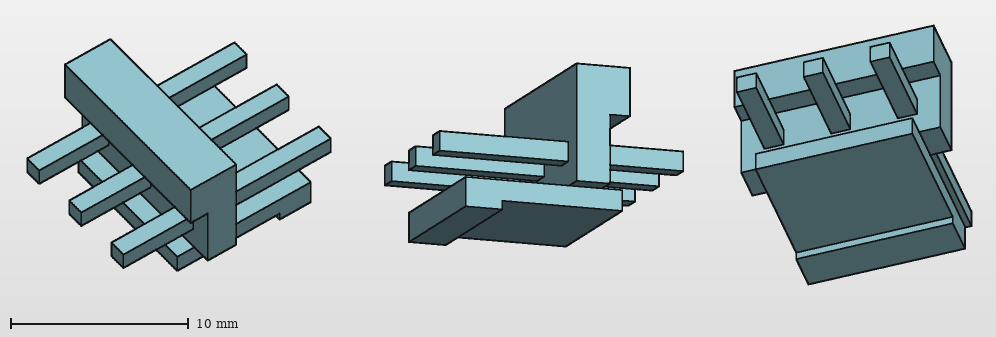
import cadquery as cq

pin_count = 3
pin_pitch = 3.96
pin_size = 1.14
pin_rear_length = 7.7
pin_front_length = 3.7

header_width = 11.82
header_height = 6.8
head_depth = 3.2
head_height = 2.8
wall_thickness = 2.0
pin_height = 2.0

shelf_width = 9.3
shelf_thickness = 1.2
shelf_rear_length = 6.2
lip_length = 2.2
lip_height = 0.5

wall_bottom = -pin_height
wall_top = wall_bottom + header_height
head_bottom = wall_top - head_height
shelf_bottom = wall_bottom - shelf_thickness
lip_bottom = shelf_bottom - lip_height
front_face = -head_depth


def extrude_profile(points, width):
    """Extrude a closed (Y, Z) outline along X, centred on X = 0."""
    return cq.Workplane("YZ").polyline(points).close().extrude(width / 2, both=True)


def make_header():
    outline = [
        (0, wall_bottom),
        (0, wall_top),
        (front_face, wall_top),
        (front_face, head_bottom),
        (-wall_thickness, head_bottom),
        (-wall_thickness, wall_bottom),
    ]
    return extrude_profile(outline, header_width)


def make_shelf():
    lip_front = shelf_rear_length - lip_length
    outline = [
        (front_face, wall_bottom),
        (shelf_rear_length, wall_bottom),
        (shelf_rear_length, lip_bottom),
        (lip_front, lip_bottom),
        (lip_front, shelf_bottom),
        (front_face, shelf_bottom),
    ]
    return extrude_profile(outline, shelf_width)


def make_pin(x):
    pin_length = pin_rear_length + head_depth + pin_front_length
    pin_centre_y = pin_rear_length - pin_length / 2
    return cq.Workplane("XY").box(pin_size, pin_length, pin_size).translate((x, pin_centre_y, 0))


result = make_header().union(make_shelf())
for index in range(pin_count):
    pin_x = (index - (pin_count - 1) / 2) * pin_pitch
    result = result.union(make_pin(pin_x))